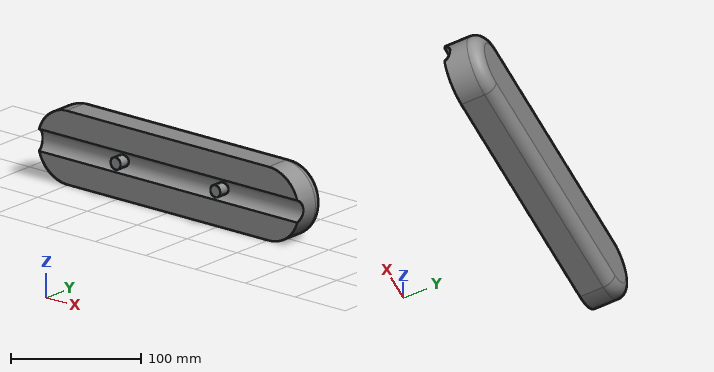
import cadquery as cq

length = 261.5
height = 60.1
body_depth = 30.0
left_end_rise = 28.8
back_fillet = 10.0
groove_radius = 10.0
pin_radius = 5.0
pin_spacing = 100.0
pin_offset = 0.8
pin_projection = 4.2

groove_axis_y = -pin_projection


def rounded_body():
    """Round-ended bar with its front face on Y = 0 and its back edge rounded."""
    end_x = length / 2
    top_z = height / 2
    left_x = left_end_rise - end_x
    right_x = end_x - top_z
    bar = (
        cq.Workplane("XZ")
        .moveTo(left_x, -top_z)
        .lineTo(right_x, -top_z)
        .threePointArc((end_x, 0), (right_x, top_z))
        .lineTo(left_x, top_z)
        .threePointArc((-end_x, 0), (left_x, -top_z))
        .close()
        .extrude(-body_depth)
    )
    return bar.faces(">Y").edges().fillet(back_fillet)


def groove():
    """Cylinder running the full length of the bar along X."""
    return (
        cq.Workplane("YZ", origin=(-length / 2, groove_axis_y, 0))
        .circle(groove_radius)
        .extrude(length)
    )


def pins():
    """Pair of round pins, rooted inside the body and standing out of the groove."""
    root_y = groove_axis_y + groove_radius
    return (
        cq.Workplane("XZ", origin=(pin_offset, root_y, 0))
        .pushPoints([(-pin_spacing / 2, 0), (pin_spacing / 2, 0)])
        .circle(pin_radius)
        .extrude(root_y + pin_projection)
    )


result = rounded_body().cut(groove()).union(pins())